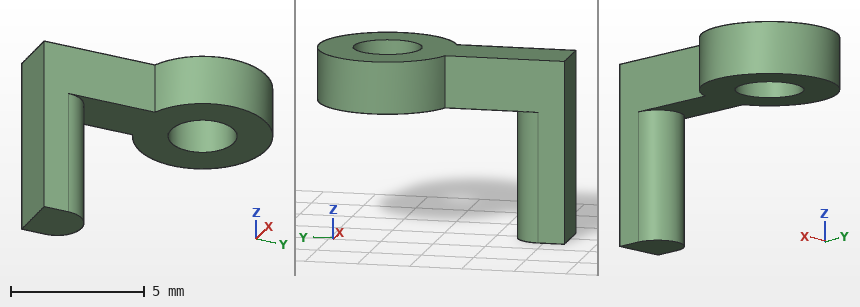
import cadquery as cq

total_length = 9.62
total_height = 7.0
ring_diameter = 5.25
hole_diameter = 2.58
bar_width = 2.0
plate_thickness = 2.0

arm_end_y = ring_diameter / 2 - total_length
leg_radius = bar_width / 2
leg_center_y = arm_end_y + leg_radius


def make_ring():
    return cq.Workplane("XY").circle(ring_diameter / 2).extrude(-plate_thickness)


def make_arm():
    """Flat bar from the ring axis to the outer end."""
    return (
        cq.Workplane("XY")
        .moveTo(0, arm_end_y / 2)
        .rect(bar_width, -arm_end_y)
        .extrude(-plate_thickness)
    )


def make_leg():
    """Downward leg, flat on the outer side and half round toward the ring."""
    return (
        cq.Workplane("XY")
        .moveTo(-leg_radius, arm_end_y)
        .lineTo(leg_radius, arm_end_y)
        .lineTo(leg_radius, leg_center_y)
        .threePointArc((0, leg_center_y + leg_radius), (-leg_radius, leg_center_y))
        .close()
        .extrude(-total_height)
    )


def make_hole():
    return cq.Workplane("XY").circle(hole_diameter / 2).extrude(-plate_thickness)


result = make_ring().union(make_arm()).union(make_leg()).cut(make_hole())